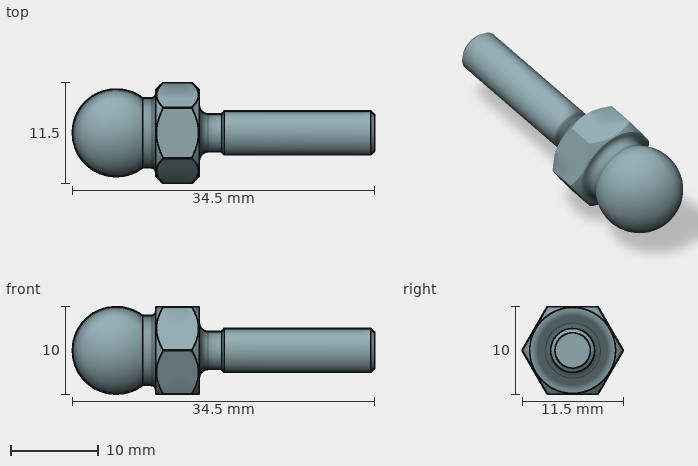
import cadquery as cq
import math

total_length = 34.5
ball_radius = 5.0
neck_radius = 4.0
neck_fillet = 0.45
hex_across_flats = 10.0
hex_start = 9.5
hex_length = 5.0
hex_chamfer_angle = 45.0
hex_face_radius = 4.9
hex_turned_diameter = 11.5
relief_radius = 2.17
relief_fillet = 0.95
relief_end = 17.0
thread_diameter = 5.0
thread_chamfer = 0.5

hex_end = hex_start + hex_length
hex_across_corners = 2 * hex_across_flats / math.sqrt(3)
hex_turned_radius = hex_turned_diameter / 2
thread_radius = thread_diameter / 2


def make_shank_and_ball():
    """Turned profile: ball, neck, core of the hexagon, relief groove and threaded shank."""
    neck_start = ball_radius + math.sqrt(ball_radius**2 - neck_radius**2)
    fillet_middle = 1 - math.sqrt(0.5)
    relief_step = thread_radius - relief_radius
    profile = (
        cq.Workplane("XY")
        .moveTo(0, 0)
        .threePointArc((ball_radius, ball_radius), (neck_start, neck_radius))
        .lineTo(hex_start - neck_fillet, neck_radius)
        .threePointArc(
            (hex_start - neck_fillet * fillet_middle, neck_radius + neck_fillet * fillet_middle),
            (hex_start, neck_radius + neck_fillet),
        )
        .lineTo(hex_end, neck_radius + neck_fillet)
        .lineTo(hex_end, relief_radius + relief_fillet)
        .threePointArc(
            (hex_end + relief_fillet * fillet_middle, relief_radius + relief_fillet * fillet_middle),
            (hex_end + relief_fillet, relief_radius),
        )
        .lineTo(relief_end, relief_radius)
        .lineTo(relief_end + relief_step, thread_radius)
        .lineTo(total_length - thread_chamfer, thread_radius)
        .lineTo(total_length, thread_radius - thread_chamfer)
        .lineTo(total_length, 0)
        .close()
    )
    return profile.revolve(360, (0, 0, 0), (1, 0, 0))


def make_hexagon():
    """Hexagon with corners on +Y and -Y, turned to a slightly smaller diameter and chamfered conically."""
    prism = (
        cq.Workplane("YZ", origin=(hex_start, 0, 0))
        .polygon(6, hex_across_corners)
        .extrude(hex_length)
    )
    chamfer_length = (hex_turned_radius - hex_face_radius) * math.tan(math.radians(hex_chamfer_angle))
    envelope = (
        cq.Workplane("XY")
        .moveTo(hex_start, 0)
        .lineTo(hex_start, hex_face_radius)
        .lineTo(hex_start + chamfer_length, hex_turned_radius)
        .lineTo(hex_end - chamfer_length, hex_turned_radius)
        .lineTo(hex_end, hex_face_radius)
        .lineTo(hex_end, 0)
        .close()
        .revolve(360, (0, 0, 0), (1, 0, 0))
    )
    return prism.intersect(envelope)


result = make_shank_and_ball().union(make_hexagon())